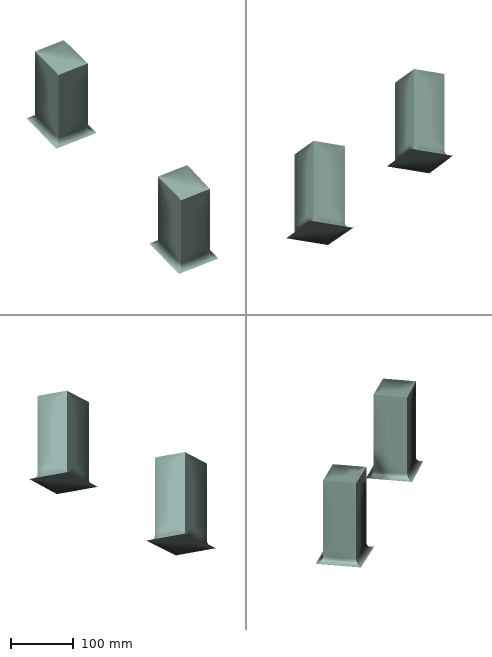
import cadquery as cq
import math

post_width = 70.0
post_depth = 55.0
post_height = 140.0
back_skew = 1.1

cove_radius = 10.0

overall_length = 460.0
outer_face_x = overall_length / 2 - cove_radius
inner_face_x = outer_face_x - post_width
outer_edge_depth = post_depth - post_width * math.tan(math.radians(back_skew))


def post_corners():
    """Plan corners of the +X post, counter-clockwise, front face on Y = 0."""
    return [
        (inner_face_x, 0),
        (outer_face_x, 0),
        (outer_face_x, outer_edge_depth),
        (inner_face_x, post_depth),
    ]


def cove_cutter(start, end):
    """Cylinder along the foot edge parallel to one wall, long enough to pass both of its corners."""
    along = cq.Vector(end[0] - start[0], end[1] - start[1], 0).normalized()
    outward = cq.Vector(along.y, -along.x, 0)
    overrun = 2 * cove_radius
    axis_start = (
        cq.Vector(*start, cove_radius)
        + outward * cove_radius
        - along * overrun
    )
    length = math.dist(start, end) + 2 * overrun
    return cq.Workplane(cq.Solid.makeCylinder(cove_radius, length, axis_start, along))


def coved_post():
    """The +X post: block and flared foot, the coves meeting in mitred corners."""
    corners = post_corners()
    block = cq.Workplane().polyline(corners).close().extrude(post_height)
    foot = (
        cq.Workplane()
        .polyline(corners)
        .close()
        .offset2D(cove_radius, "intersection")
        .extrude(cove_radius)
    )
    for start, end in zip(corners, corners[1:] + corners[:1]):
        foot = foot.cut(cove_cutter(start, end))
    return block.union(foot)


right_post = coved_post()
left_post = right_post.mirror("YZ")

result = cq.Compound.makeCompound([left_post.val(), right_post.val()])